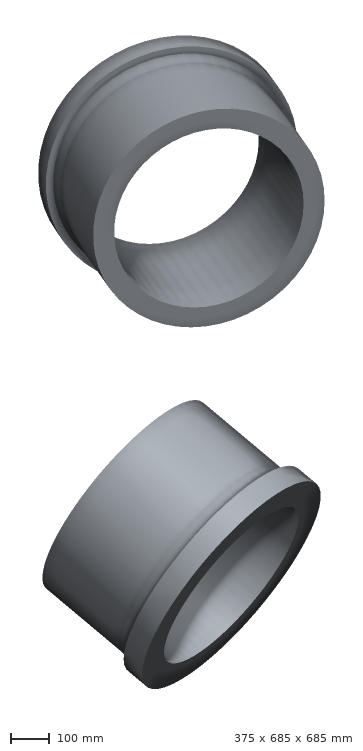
import cadquery as cq

total_length = 375.0
flange_diameter = 685.0
flange_thickness = 64.5
hub_diameter = 644.5
hub_length = 40.5
pipe_diameter = 630.0
bore_diameter = 516.0

hub_end = flange_thickness + hub_length
flange_radius = flange_diameter / 2
hub_radius = hub_diameter / 2
pipe_radius = pipe_diameter / 2
bore_radius = bore_diameter / 2

half_section = (
    cq.Workplane("XY")
    .moveTo(0, bore_radius)
    .lineTo(0, flange_radius)
    .lineTo(flange_thickness, flange_radius)
    .lineTo(flange_thickness, hub_radius)
    .lineTo(hub_end, pipe_radius)
    .lineTo(total_length, pipe_radius)
    .lineTo(total_length, bore_radius)
    .close()
)

result = half_section.revolve(360, (0, 0, 0), (1, 0, 0))